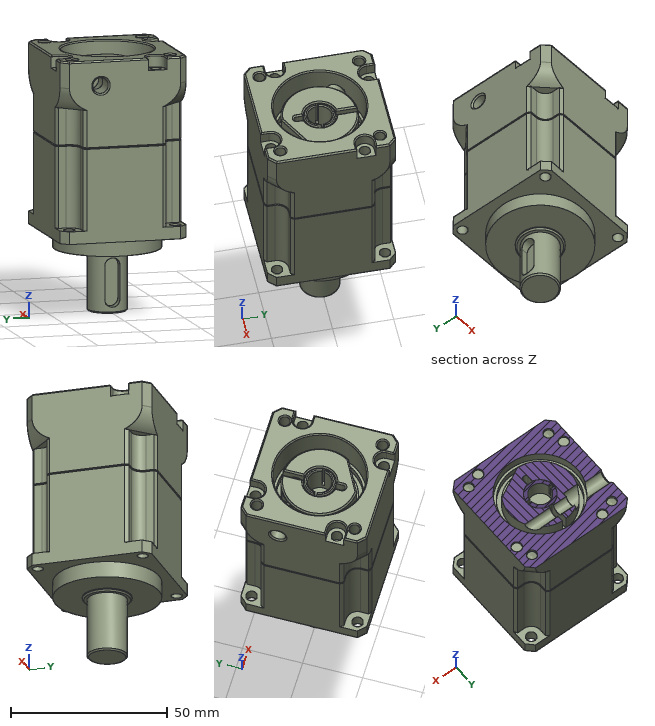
import cadquery as cq
import math


total_length = 85.3
shaft_tip_z = -25.9
top_z = total_length + shaft_tip_z
joint_z = 31.0
flange_thickness = 4.1
seam_chamfer = 0.25

body_width = 42.0
half_width = body_width / 2
corner_chamfer = 2.5

recess_wall = 13.8
recess_arc_radius = 3.75
recess_mouth = 12.6
recess_mouth_depth = 0.8
recess_top_z = top_z - 16.0

flare_start_z = top_z - 8.6
flare_radius = 8.7

top_edge_chamfer = 0.5
bore_radius = 15.0
bore_chamfer = 0.4
bore_depth = 11.9
inner_bore_radius = 14.1
hub_seat_z = top_z - 14.5
bearing_recess_radius = 8.45
bearing_recess_depth = 1.0
bearing_bore_radius = 7.2
bearing_bore_depth = 2.05
bearing_bore_chamfer = 0.25

tapped_hole_offset = 16.3
tapped_hole_radius = 1.7
tapped_hole_depth = 9.4
tapped_hole_chamfer = 0.4
drill_point_angle = 118.0

notch_offset = 10.9
notch_center = 18.25
notch_radius = 3.1
notch_depth = 4.0
notch_chamfer = 0.4
notch_hole_radius = 1.8
notch_hole_depth = 5.1

access_hole_y = 8.0
access_hole_z = top_z - 8.2
access_hole_radius = 2.6
access_hole_chamfer = 0.5

flange_hole_offset = 17.65
flange_hole_radius = 1.8
boss_radius = 17.5
boss_height = 5.3

shaft_radius = 6.5
shaft_end_chamfer = 0.5
shaft_seat_depth = 12.8
collar_radius = 8.0
collar_height = 0.85
collar_chamfer = 0.5
key_width = 5.0
key_length = 16.0
key_depth = 3.0
key_end_gap = 2.05

hub_top_z = top_z - 4.2
hub_radius = 12.45
hub_chamfer = 0.5
hub_bore_radius = 5.3
hub_flat_distance = 10.75
hub_flat_angle = -62.0
hub_base_height = 1.7
slot_width = 1.45
relief_width = 1.9
relief_reach = 8.45
slot_chamfer = 0.5
clamp_screw_z = access_hole_z - 0.4
clamp_screw_radius = 2.05
clamp_head_radius = 3.5
clamp_head_seat_x = -6.0

collet_bore_radius = 3.9
collet_chamfer = 0.4
slit_width = 0.85
slit_base_height = 1.7


def square_corners(offset):
    """The four points (+-offset, +-offset)."""
    return [(x, y) for x in (-offset, offset) for y in (-offset, offset)]


def square_block(bottom_z, upper_z):
    """A square block with its four vertical edges chamfered."""
    return (
        cq.Workplane("XY", origin=(0, 0, bottom_z))
        .rect(body_width, body_width)
        .extrude(upper_z - bottom_z)
        .edges("|Z")
        .chamfer(corner_chamfer)
    )


def turned(shape, quarter):
    """A copy turned about the gearbox axis by a number of quarter turns."""
    return shape.rotate((0, 0, 0), (0, 0, 1), 90 * quarter)


def cut_at_four_corners(body, cutter):
    """Cut the same shape from all four corners or sides of a body."""
    for quarter in range(4):
        body = body.cut(turned(cutter, quarter))
    return body


def disc(radius, bottom_z, upper_z):
    """A round disc on the gearbox axis."""
    return cq.Workplane("XY", origin=(0, 0, bottom_z)).circle(radius).extrude(upper_z - bottom_z)


def countersink(radius, chamfer, face_z):
    """A cone that chamfers the rim of a hole on the gearbox axis at an upward face."""
    profile = [(0, face_z), (radius + chamfer, face_z), (radius, face_z - chamfer), (0, face_z - chamfer)]
    return cq.Workplane("XZ").polyline(profile).close().revolve(360, (0, 0), (0, 1))


def corner_recess(bottom_z, upper_z):
    """The bolt recess in the +X +Y corner: flared mouths, flat walls and a rounded inner corner."""
    arc_end = recess_wall + recess_arc_radius
    arc_middle = arc_end - recess_arc_radius / math.sqrt(2)
    mouth_end = half_width - recess_mouth_depth
    return (
        cq.Workplane("XY", origin=(0, 0, bottom_z))
        .moveTo(recess_mouth, half_width)
        .lineTo(recess_wall, mouth_end)
        .lineTo(recess_wall, arc_end)
        .threePointArc((arc_middle, arc_middle), (arc_end, recess_wall))
        .lineTo(mouth_end, recess_wall)
        .lineTo(half_width, recess_mouth)
        .lineTo(body_width, recess_mouth)
        .lineTo(body_width, body_width)
        .lineTo(recess_mouth, body_width)
        .close()
        .extrude(upper_z - bottom_z)
    )


def corner_flare():
    """The cutter that rounds the +X +Y corner inward, from the corner chamfer down to the recess."""
    start = (body_width - corner_chamfer) / math.sqrt(2)
    drop = flare_start_z - recess_top_z
    center = start - flare_radius

    def on_arc(depth):
        return (center + math.sqrt(flare_radius**2 - depth**2), flare_start_z - depth)

    outside = start + corner_chamfer
    return (
        cq.Workplane("XZ")
        .moveTo(start, flare_start_z)
        .threePointArc(on_arc(drop / 2), on_arc(drop))
        .lineTo(outside, recess_top_z)
        .lineTo(outside, flare_start_z)
        .close()
        .extrude(half_width, both=True)
        .rotate((0, 0, 0), (0, 0, 1), 45)
    )


def tapped_hole():
    """A blind chamfered hole with a drill point, below the top face near the +X +Y corner."""
    wide = tapped_hole_radius + tapped_hole_chamfer
    bottom = top_z - tapped_hole_depth
    point = tapped_hole_radius / math.tan(math.radians(drill_point_angle / 2))
    return (
        cq.Workplane("XZ")
        .moveTo(0, top_z)
        .lineTo(wide, top_z)
        .lineTo(tapped_hole_radius, top_z - tapped_hole_chamfer)
        .lineTo(tapped_hole_radius, bottom)
        .lineTo(0, bottom - point)
        .close()
        .revolve(360, (0, 0), (0, 1))
        .translate((tapped_hole_offset, tapped_hole_offset, 0))
    )


def notch_outline(radius, base_z):
    """A U-shaped outline open to the +Y side."""
    return (
        cq.Workplane("XY", origin=(-notch_offset, notch_center, base_z))
        .moveTo(-radius, body_width)
        .lineTo(-radius, 0)
        .threePointArc((0, -radius), (radius, 0))
        .lineTo(radius, body_width)
        .close()
    )


def screw_notch():
    """The notch in the +Y side: a U-shaped pocket, its top chamfer and a blind screw hole."""
    floor_z = top_z - notch_depth
    pocket = notch_outline(notch_radius, floor_z).extrude(notch_depth)
    rim = notch_outline(notch_radius + notch_chamfer, top_z).extrude(-notch_chamfer, taper=45)
    hole = (
        cq.Workplane("XY", origin=(-notch_offset, notch_center, floor_z))
        .circle(notch_hole_radius)
        .extrude(-notch_hole_depth)
    )
    return pocket.union(rim).union(hole)


def access_hole():
    """The chamfered hole through the -X wall that leads to the clamp screw."""
    wide = access_hole_radius + access_hole_chamfer
    profile = [
        (-half_width, 0),
        (-half_width, wide),
        (-half_width + access_hole_chamfer, access_hole_radius),
        (-clamp_reach(), access_hole_radius),
        (-clamp_reach(), 0),
    ]
    return (
        cq.Workplane("XY")
        .polyline(profile)
        .close()
        .revolve(360, (0, 0), (1, 0))
        .translate((0, access_hole_y, access_hole_z))
    )


def clamp_reach():
    """How far along X the hub extends at the height of the clamp screw axis."""
    return math.sqrt(hub_radius**2 - access_hole_y**2)


def make_input_housing():
    housing = square_block(joint_z, top_z)
    housing = housing.faces(">Z").edges().chamfer(top_edge_chamfer)
    housing = cut_at_four_corners(housing, corner_recess(joint_z, recess_top_z))
    housing = housing.faces("<Z").edges().chamfer(seam_chamfer)
    housing = cut_at_four_corners(housing, corner_flare())

    housing = housing.cut(disc(bore_radius, top_z - bore_depth, top_z))
    housing = housing.cut(countersink(bore_radius, bore_chamfer, top_z))
    housing = housing.cut(disc(inner_bore_radius, hub_seat_z, top_z))
    recess_floor_z = hub_seat_z - bearing_recess_depth
    housing = housing.cut(disc(bearing_recess_radius, recess_floor_z, hub_seat_z))
    housing = housing.cut(disc(bearing_bore_radius, hub_seat_z - bearing_bore_depth, hub_seat_z))
    housing = housing.cut(countersink(bearing_bore_radius, bearing_bore_chamfer, recess_floor_z))

    housing = cut_at_four_corners(housing, tapped_hole())
    housing = cut_at_four_corners(housing, screw_notch())
    return housing.cut(access_hole())


def make_output_housing():
    housing = square_block(0, joint_z)
    housing = cut_at_four_corners(housing, corner_recess(flange_thickness, joint_z))
    housing = housing.faces(">Z").edges().chamfer(seam_chamfer)
    flange_holes = (
        cq.Workplane("XY")
        .pushPoints(square_corners(flange_hole_offset))
        .circle(flange_hole_radius)
        .extrude(flange_thickness)
    )
    housing = housing.cut(flange_holes)
    housing = housing.union(disc(boss_radius, -boss_height, 0))
    return housing.cut(disc(shaft_radius, -boss_height, shaft_seat_depth))


def make_output_shaft():
    shaft = disc(shaft_radius, shaft_tip_z, shaft_seat_depth)
    shaft = shaft.faces("<Z").edges().chamfer(shaft_end_chamfer)
    collar = disc(collar_radius, -boss_height - collar_height, -boss_height)
    collar = collar.faces("<Z").edges().chamfer(collar_chamfer)
    keyway = (
        cq.Workplane("YZ", origin=(-shaft_radius, 0, shaft_tip_z + key_end_gap + key_length / 2))
        .slot2D(key_length, key_width, 90)
        .extrude(key_depth)
    )
    return shaft.union(collar).cut(keyway)


def hub_slots(widening, bottom_z, taper=0):
    """The clamping slot toward +Y and the round-ended relief slot toward -Y."""
    height = hub_top_z - bottom_z
    relief_half = relief_width / 2 + widening
    relief_end = relief_reach - relief_width / 2
    slot = (
        cq.Workplane("XY", origin=(0, hub_radius, hub_top_z))
        .rect(slot_width + 2 * widening, 2 * hub_radius)
        .extrude(-height, taper=taper)
    )
    relief = (
        cq.Workplane("XY", origin=(0, 0, hub_top_z))
        .moveTo(-relief_half, 0)
        .lineTo(-relief_half, -relief_end)
        .threePointArc((0, -relief_end - relief_half), (relief_half, -relief_end))
        .lineTo(relief_half, 0)
        .close()
        .extrude(-height, taper=taper)
    )
    return slot.union(relief)


def make_hub():
    hub = disc(hub_radius, hub_seat_z, hub_top_z)
    flat_bottom_z = hub_seat_z + hub_base_height
    flat = (
        cq.Workplane("XY", origin=(0, 0, flat_bottom_z))
        .center(hub_flat_distance + hub_radius, 0)
        .rect(2 * hub_radius, 4 * hub_radius)
        .extrude(hub_top_z - flat_bottom_z)
        .rotate((0, 0, 0), (0, 0, 1), hub_flat_angle)
    )
    hub = hub.cut(flat).faces(">Z").edges().chamfer(hub_chamfer)

    hub = hub.cut(disc(hub_bore_radius, hub_seat_z, hub_top_z))
    hub = hub.cut(countersink(hub_bore_radius, hub_chamfer, hub_top_z))
    hub = hub.cut(hub_slots(0, hub_seat_z))
    hub = hub.cut(hub_slots(slot_chamfer, hub_top_z - slot_chamfer, taper=45))

    screw_plane = cq.Workplane("YZ", origin=(clamp_head_seat_x, access_hole_y, clamp_screw_z))
    hub = hub.cut(screw_plane.circle(clamp_screw_radius).extrude(2 * hub_radius))
    return hub.cut(screw_plane.circle(clamp_head_radius).extrude(-hub_radius))


def make_collet():
    collet = disc(hub_bore_radius, hub_seat_z, hub_top_z)
    collet = collet.faces(">Z").edges().chamfer(collet_chamfer)
    collet = collet.cut(disc(collet_bore_radius, hub_seat_z, hub_top_z))
    collet = collet.cut(countersink(collet_bore_radius, collet_chamfer, hub_top_z))

    slit_bottom_z = hub_seat_z + slit_base_height
    slits = (
        cq.Workplane("XY", origin=(0, 0, slit_bottom_z))
        .rect(4 * hub_bore_radius, slit_width)
        .extrude(hub_top_z - slit_bottom_z)
    )
    return collet.cut(slits)


input_housing = make_input_housing()
output_housing = make_output_housing()
output_shaft = make_output_shaft()
hub = make_hub()
collet = make_collet()

result = cq.Compound.makeCompound(
    [input_housing.val(), output_housing.val(), output_shaft.val(), hub.val(), collet.val()]
)